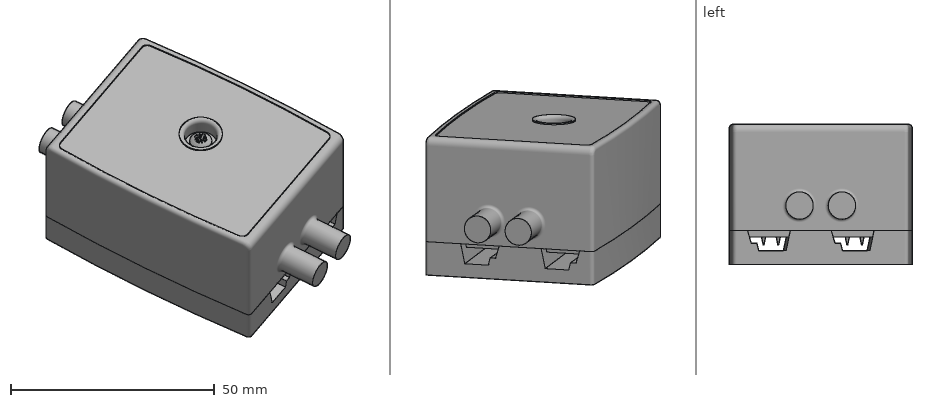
import cadquery as cq
import math

overall_length = 80.0
overall_width = 45.0
overall_height = 34.5
box_length = 60.0
base_height = 8.4

side_bulge = 1.0
end_top_radius = 2.0
side_edge_radius = 1.0

label_rim = 0.6
label_depth = 0.3
label_corner_radius = 1.6

stub_diameter = 6.7
stub_root_radius = 0.8
stub_spacing = 10.4
stub_height = 14.5

screw_y = 2.7
recess_diameter = 8.0
recess_depth = 4.0
recess_mouth_radius = 1.0
recess_collar_diameter = 10.6
head_diameter = 5.4
head_rim_height = 1.3
head_height = 2.6
shank_diameter = 3.2
shank_end_height = 3.2
cross_length = 3.8
cross_width = 0.9
cross_floor = 0.6
cross_depth = 1.6
tick_length = 2.9
tick_width = 0.2
tick_depth = 0.6

channel_centers = (12.2, -8.3)
channel_floor = 3.4
channel_step = 5.3
channel_narrowing = 0.7
top_left = 5.8
step_outer = 4.8
step_inner = 3.4
floor_left = 3.0
floor_right = -3.8
top_right = -4.8

tongue_height = 1.7
tongue_setback = 4.0
pin_spacing = 3.6
pin_length = 1.9
pin_root_diameter = 1.0
pin_tip_diameter = 0.2

half_length = box_length / 2
half_width = overall_width / 2
stub_length = (overall_length - box_length) / 2
tongue_bottom = base_height - tongue_height
recess_floor = overall_height - recess_depth


def bulged_outline(half_x, half_y, bulge):
    """Rectangle in XY whose two long sides bow outwards to half_y."""
    corner_y = half_y - bulge
    return (
        cq.Workplane("XY")
        .moveTo(-half_x, -corner_y)
        .threePointArc((0, -half_y), (half_x, -corner_y))
        .lineTo(half_x, corner_y)
        .threePointArc((0, half_y), (-half_x, corner_y))
        .close()
    )


def make_block():
    """Whole rounded box, before it is parted into cover and base."""
    block = bulged_outline(half_length, half_width, side_bulge).extrude(overall_height)
    block = block.faces(">Z").edges("|Y").fillet(end_top_radius)
    side_faces = block.faces("<Y or >Y")
    return side_faces.edges("not <Z").fillet(side_edge_radius)


def layer(bottom, top):
    """Slab larger than the box between two heights."""
    size = 2 * overall_length
    return cq.Workplane("XY").workplane(offset=bottom).rect(size, size).extrude(top - bottom)


def disc(diameter, bottom, top):
    """Vertical cylinder on the screw axis."""
    plane = cq.Workplane("XY", origin=(0, screw_y, bottom))
    return plane.circle(diameter / 2).extrude(top - bottom)


def channel_section(x, center, narrowing):
    """Closed channel outline at one X position."""
    corners = [
        (center + top_left, base_height),
        (center + step_outer, channel_step),
        (center + step_inner, channel_step),
        (center + floor_left, channel_floor),
        (center + floor_right + narrowing, channel_floor),
        (center + top_right + narrowing, base_height),
    ]
    return cq.Wire.makePolygon([cq.Vector(x, y, z) for y, z in corners], close=True)


def make_channel(center):
    """Through channel whose -Y wall leans inwards towards +X."""
    near = channel_section(-half_length, center, 0)
    far = channel_section(half_length, center, channel_narrowing)
    return cq.Workplane(obj=cq.Solid.makeLoft([near, far], True))


def make_stub(end, y):
    """Cable stub with a flared root; end is -1 or 1 along X."""
    radius = stub_diameter / 2
    flare = stub_root_radius
    mid = flare * (1 - math.sqrt(0.5))
    profile = (
        cq.Workplane("XY")
        .lineTo(0, radius + flare)
        .threePointArc((mid, radius + mid), (flare, radius))
        .lineTo(stub_length, radius)
        .lineTo(stub_length, 0)
        .close()
    )
    stub = profile.revolve(360, (0, 0, 0), (1, 0, 0))
    if end < 0:
        stub = stub.mirror("YZ")
    return stub.translate((end * half_length, y, stub_height))


def make_label_field():
    """Shallow field inside a narrow rim, leaving a collar around the screw recess."""
    half_x = half_length - end_top_radius - label_rim
    half_y = half_width - side_edge_radius - label_rim
    field = bulged_outline(half_x, half_y, side_bulge).extrude(label_depth)
    field = field.edges("|Z").fillet(label_corner_radius)
    field = field.translate((0, 0, overall_height - label_depth))
    return field.cut(disc(recess_collar_diameter, 0, overall_height))


def make_recess():
    """Screw recess with a rounded mouth."""
    radius = recess_diameter / 2
    round_radius = recess_mouth_radius
    mid = round_radius * (1 - math.sqrt(0.5))
    profile = (
        cq.Workplane("XZ")
        .moveTo(0, recess_floor)
        .lineTo(radius, recess_floor)
        .lineTo(radius, overall_height - round_radius)
        .threePointArc((radius + mid, overall_height - mid), (radius + round_radius, overall_height))
        .lineTo(0, overall_height)
        .close()
    )
    return profile.revolve(360, (0, 0, 0), (0, 1, 0)).translate((0, screw_y, 0))


def make_tongue(center, channel):
    """Tongue that closes the top of a channel, with two piercing pins below it."""
    length = box_length - 2 * tongue_setback
    reach = cq.Workplane("XY").box(length, overall_width, overall_height)
    tongue = channel.intersect(layer(tongue_bottom, base_height)).intersect(reach)
    for side in (-1, 1):
        pin = cq.Solid.makeCone(
            pin_root_diameter / 2,
            pin_tip_diameter / 2,
            pin_length,
            cq.Vector(0, center + side * pin_spacing / 2, tongue_bottom),
            cq.Vector(0, 0, -1),
        )
        tongue = tongue.union(cq.Workplane(obj=pin))
    return tongue


def make_cover(block, channels):
    """Upper part of the box with its stubs, tongues, label field and screw recess."""
    cover = block.intersect(layer(base_height, overall_height))
    for end in (-1, 1):
        for side in (-1, 1):
            cover = cover.union(make_stub(end, side * stub_spacing / 2))
    for center, channel in zip(channel_centers, channels):
        cover = cover.union(make_tongue(center, channel))
    cover = cover.cut(make_label_field()).cut(make_recess())
    return cover.cut(disc(shank_diameter, 0, overall_height))


def make_base(block, channels):
    """Lower part of the box with the cable channels and the screw hole."""
    base = block.intersect(layer(0, base_height))
    for channel in channels:
        base = base.cut(channel)
    return base.cut(disc(shank_diameter, shank_end_height, base_height))


def make_slot(length, width, depth, angle):
    """Straight slot through the origin, reaching equally far above and below it."""
    slot = cq.Workplane("XY").box(length, width, 2 * depth)
    return slot.rotate((0, 0, 0), (0, 0, 1), angle)


def make_cross():
    """Cross recess below the origin, its arms sloping down to a small square floor."""
    funnel = (
        cq.Workplane("XY")
        .rect(cross_length, cross_length)
        .workplane(offset=-cross_depth)
        .rect(cross_floor, cross_floor)
        .loft(ruled=True)
    )
    arms = make_slot(cross_length, cross_width, cross_depth, 0)
    arms = arms.union(make_slot(cross_length, cross_width, cross_depth, 90))
    return funnel.intersect(arms)


def make_screw():
    """Domed screw with a cross recess and four diagonal tick marks."""
    radius = head_diameter / 2
    dome_rise = head_height - head_rim_height
    dome_radius = (radius**2 + dome_rise**2) / (2 * dome_rise)
    half_angle = math.asin(radius / dome_radius) / 2
    dome_mid = (
        dome_radius * math.sin(half_angle),
        head_height - dome_radius * (1 - math.cos(half_angle)),
    )
    head = (
        cq.Workplane("XZ")
        .lineTo(radius, 0)
        .lineTo(radius, head_rim_height)
        .threePointArc(dome_mid, (0, head_height))
        .close()
        .revolve(360, (0, 0, 0), (0, 1, 0))
        .translate((0, screw_y, recess_floor))
    )
    screw = head.union(disc(shank_diameter, shank_end_height, recess_floor))
    head_top = cq.Vector(0, screw_y, recess_floor + head_height)
    screw = screw.cut(make_cross().translate(head_top))
    for angle in (45, 135):
        screw = screw.cut(make_slot(tick_length, tick_width, tick_depth, angle).translate(head_top))
    return screw


block = make_block()
channels = [make_channel(center) for center in channel_centers]
cover = make_cover(block, channels)
base = make_base(block, channels)
screw = make_screw()

result = cq.Compound.makeCompound([cover.val(), base.val(), screw.val()])